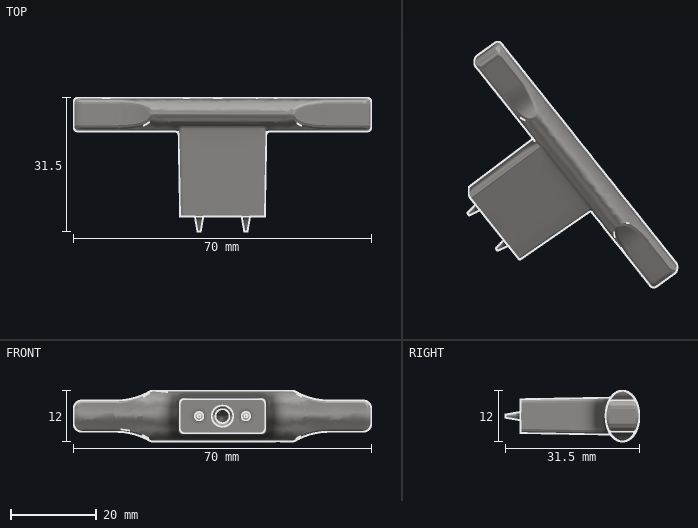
import cadquery as cq
import math

BAR_LENGTH = 70.0
BAR_DEPTH = 8.0
BAR_HEIGHT = 12.0

GRIP_HEIGHT = 7.4
GRIP_CORNER_RADIUS = 2.0
GRIP_FLAT_END_X = 25.0
GRIP_SWEEP_RADIUS = 16.0
GRIP_EDGE_RADIUS = 1.0

POST_END_WIDTH = 20.0
POST_END_HEIGHT = 8.0
POST_EDGE_RADIUS = 1.0
POST_DRAFT = 1.0
POST_ROOT_RADIUS = 0.7
POST_REACH = 28.0

HOLE_DIAMETER = 3.3
HOLE_MOUTH_DIAMETER = 5.0
HOLE_DEPTH = 10.0
HOLE_TIP_ANGLE = 118.0

PIN_SPACING = 11.0
PIN_BASE_DIAMETER = 2.0
PIN_TIP_DIAMETER = 0.8
PIN_LENGTH = 3.5

HALF_LENGTH = BAR_LENGTH / 2
HALF_DEPTH = BAR_DEPTH / 2
HALF_HEIGHT = BAR_HEIGHT / 2
HALF_GRIP = GRIP_HEIGHT / 2
SWEEP_ANGLE = math.acos(1 - (HALF_HEIGHT - HALF_GRIP) / GRIP_SWEEP_RADIUS)
SHOULDER_X = GRIP_FLAT_END_X - GRIP_SWEEP_RADIUS * math.sin(SWEEP_ANGLE)
POST_END_Y = HALF_DEPTH - POST_REACH


def make_bar():
    """Elliptical section extruded along X."""
    section = cq.Workplane("YZ", origin=(-HALF_LENGTH, 0, 0)).ellipse(HALF_DEPTH, HALF_HEIGHT)
    return section.extrude(BAR_LENGTH)


def make_grip_outline():
    """Prism along Y whose XZ outline narrows the bar towards both ends."""
    mid_x = GRIP_FLAT_END_X - GRIP_SWEEP_RADIUS * math.sin(SWEEP_ANGLE / 2)
    mid_z = HALF_GRIP + GRIP_SWEEP_RADIUS * (1 - math.cos(SWEEP_ANGLE / 2))
    return (
        cq.Workplane("XZ")
        .moveTo(-SHOULDER_X, HALF_HEIGHT)
        .lineTo(SHOULDER_X, HALF_HEIGHT)
        .threePointArc((mid_x, mid_z), (GRIP_FLAT_END_X, HALF_GRIP))
        .lineTo(HALF_LENGTH, HALF_GRIP)
        .lineTo(HALF_LENGTH, -HALF_GRIP)
        .lineTo(GRIP_FLAT_END_X, -HALF_GRIP)
        .threePointArc((mid_x, -mid_z), (SHOULDER_X, -HALF_HEIGHT))
        .lineTo(-SHOULDER_X, -HALF_HEIGHT)
        .threePointArc((-mid_x, -mid_z), (-GRIP_FLAT_END_X, -HALF_GRIP))
        .lineTo(-HALF_LENGTH, -HALF_GRIP)
        .lineTo(-HALF_LENGTH, HALF_GRIP)
        .lineTo(-GRIP_FLAT_END_X, HALF_GRIP)
        .threePointArc((-mid_x, mid_z), (-SHOULDER_X, HALF_HEIGHT))
        .close()
        .extrude(BAR_DEPTH, both=True)
        .edges("|Y and (<X or >X)")
        .fillet(GRIP_CORNER_RADIUS)
    )


def is_grip_edge(edge):
    """True for the edges that run along the sides of the grip sweeps, flats and ends."""
    center = edge.Center()
    crosses_bar = edge.geomType() == "LINE" and abs(center.y) < HALF_DEPTH / 2
    return abs(center.x) > SHOULDER_X and not crosses_bar


def make_grip_bar():
    """Bar with thinned ends and softened edges around each grip."""
    bar = make_bar().intersect(make_grip_outline())
    return bar.edges().filter(is_grip_edge).fillet(GRIP_EDGE_RADIUS)


def make_post():
    """Drafted block from the middle of the bar out to the post end."""
    draft_growth = 2 * abs(POST_END_Y) * math.tan(math.radians(POST_DRAFT))
    return (
        cq.Workplane("XZ")
        .rect(POST_END_WIDTH + draft_growth, POST_END_HEIGHT + draft_growth)
        .extrude(-POST_END_Y, taper=POST_DRAFT)
        .edges("not(#Y)")
        .fillet(POST_EDGE_RADIUS)
    )


def make_hole():
    """Chamfered blind hole with a conical bottom, as a cutting solid."""
    radius = HOLE_DIAMETER / 2
    mouth_radius = HOLE_MOUTH_DIAMETER / 2
    tip_depth = radius / math.tan(math.radians(HOLE_TIP_ANGLE / 2))
    return (
        cq.Workplane("XY")
        .moveTo(0, POST_END_Y)
        .lineTo(mouth_radius, POST_END_Y)
        .lineTo(radius, POST_END_Y + mouth_radius - radius)
        .lineTo(radius, POST_END_Y + HOLE_DEPTH)
        .lineTo(0, POST_END_Y + HOLE_DEPTH + tip_depth)
        .close()
        .revolve(360, (0, 0), (0, 1))
    )


def make_pin(x):
    """Tapered pin pointing along -Y from the post end."""
    return (
        cq.Workplane("XZ", origin=(x, POST_END_Y, 0))
        .circle(PIN_BASE_DIAMETER / 2)
        .workplane(offset=PIN_LENGTH)
        .circle(PIN_TIP_DIAMETER / 2)
        .loft()
    )


def is_post_root_edge(edge):
    """True for the edges where the post meets the bar."""
    center = edge.Center()
    near_post = abs(center.x) < SHOULDER_X and abs(center.z) < POST_END_HEIGHT
    return near_post and -HALF_DEPTH < center.y < -HALF_DEPTH / 2


handle = make_grip_bar().union(make_post())
handle = handle.edges().filter(is_post_root_edge).fillet(POST_ROOT_RADIUS)
handle = handle.cut(make_hole())
for side in (-1, 1):
    handle = handle.union(make_pin(side * PIN_SPACING / 2))

result = handle